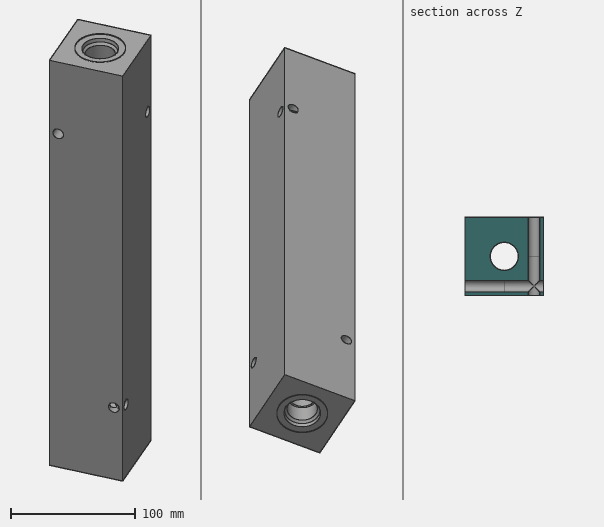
import cadquery as cq
import math

bar_height = 393.7
bar_width = 63.5

bore_diameter = 22.5
spotface_diameter = 41.0
spotface_depth = 0.8
port_mouth_diameter = 29.5
port_seat_diameter = 28.5
port_seat_depth = 3.0
port_throat_diameter = 24.5
port_depth = 20.0
drill_point_angle = 118.0

mount_hole_diameter = 9.0
mount_hole_offset = 24.0
mount_hole_spacing = 254.5


def port_cutter():
    """Revolved cutter for the top port: spotface, steep seat cone, 45 degree cone, drilled throat."""
    top = bar_height / 2
    floor = top - spotface_depth
    seat_bottom = floor - port_seat_depth
    throat_top = seat_bottom - (port_seat_diameter - port_throat_diameter) / 2
    throat_bottom = floor - port_depth
    drill_half_angle = math.radians(drill_point_angle / 2)
    drill_tip = throat_bottom - port_throat_diameter / 2 / math.tan(drill_half_angle)
    return (
        cq.Workplane("XZ")
        .moveTo(0, top)
        .lineTo(spotface_diameter / 2, top)
        .lineTo(spotface_diameter / 2, floor)
        .lineTo(port_mouth_diameter / 2, floor)
        .lineTo(port_seat_diameter / 2, seat_bottom)
        .lineTo(port_throat_diameter / 2, throat_top)
        .lineTo(port_throat_diameter / 2, throat_bottom)
        .lineTo(0, drill_tip)
        .close()
        .revolve(360, (0, 0, 0), (0, 1, 0))
    )


def mount_holes(plane):
    """Two through holes at diagonally opposite corners of the side face along the plane."""
    return (
        cq.Workplane(plane)
        .pushPoints([
            (-mount_hole_offset, mount_hole_spacing / 2),
            (mount_hole_offset, -mount_hole_spacing / 2),
        ])
        .circle(mount_hole_diameter / 2)
        .extrude(bar_width, both=True)
    )


front_plane = cq.Plane(origin=(0, 0, 0), xDir=(1, 0, 0), normal=(0, -1, 0))
side_plane = cq.Plane(origin=(0, 0, 0), xDir=(0, -1, 0), normal=(-1, 0, 0))

bar = cq.Workplane("XY").box(bar_width, bar_width, bar_height)
bore = cq.Workplane("XY").circle(bore_diameter / 2).extrude(bar_height, both=True)
top_port = port_cutter()
bottom_port = top_port.mirror("XY")

result = bar.cut(bore).cut(top_port).cut(bottom_port)
for plane in (front_plane, side_plane):
    result = result.cut(mount_holes(plane))